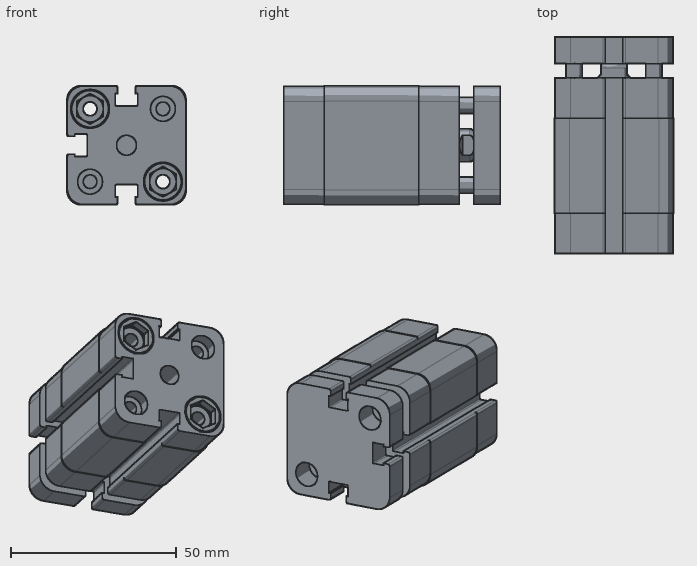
import cadquery as cq
import math

total_length = 65.5
plate_length = 8.1
rod_gap = 4.25
cap_length = 12.25
y_front = -total_length / 2
y_barrel_front = y_front + cap_length
y_plate_back = total_length / 2
y_plate_front = y_plate_back - plate_length
y_body_back = y_plate_front - rod_gap
y_barrel_back = y_body_back - cap_length

barrel_width = 36.1
cap_width = 35.7
corner_radius = 4.6

slot_mouth_width = 5.4
slot_inner_width = 6.7
slot_floor_height = 11.9
slot_lip_height = 15.6
slot_floor_radius = 0.3
mouth_radius = 0.65
slot_angles = (0, -90, 180)

corner_offset = 11.0
screw_corners = ((-corner_offset, corner_offset), (corner_offset, -corner_offset))
bore_corners = ((corner_offset, corner_offset), (-corner_offset, -corner_offset))
screw_head_diameter = 11.1
screw_recess_diameter = 11.7
screw_groove_depth = 1.0
hex_across_flats = 8.0
hex_depth = 3.0
hex_relief_depth = 0.5
screw_hole_diameter = 4.1
bore_diameter = 7.5
bore_depth = 4.5
bore_pilot_diameter = 4.1
center_hole_diameter = 6.0

rod_diameter = 10.0
rod_across_flats = 8.0
rod_neck_length = 1.25
rod_neck_radius = 1.5
rod_flat_gap = 1.0
guide_rod_diameter = 5.0
guide_rod_offset = 12.05


def plane_at(y):
    """Cross-section plane at y: local x is X, local y is Z, normal is -Y."""
    return cq.Workplane("XZ", origin=(0, y, 0))


def cylinders(points, diameter, y_start, length):
    """Cylinders centred on the given (X, Z) points, running toward +Y."""
    return plane_at(y_start).pushPoints(points).circle(diameter / 2).extrude(-length)


def slot_cutter(width, y_start, length):
    """T-slot with rounded mouth edges for the top side of a section of this width."""
    top = width / 2
    mouth = slot_mouth_width / 2
    diagonal = mouth_radius * (1 - math.sqrt(0.5))
    undercut = (
        plane_at(y_start)
        .center(0, (slot_floor_height + slot_lip_height) / 2)
        .rect(slot_inner_width, slot_lip_height - slot_floor_height)
        .extrude(-length)
        .edges("|Y and <Z")
        .fillet(slot_floor_radius)
    )
    opening = (
        plane_at(y_start)
        .moveTo(-mouth, slot_floor_height + slot_floor_radius)
        .lineTo(mouth, slot_floor_height + slot_floor_radius)
        .lineTo(mouth, top - mouth_radius)
        .threePointArc((mouth + diagonal, top - diagonal), (mouth + mouth_radius, top))
        .lineTo(-mouth - mouth_radius, top)
        .threePointArc((-mouth - diagonal, top - diagonal), (-mouth, top - mouth_radius))
        .close()
        .extrude(-length)
    )
    return undercut.union(opening)


def slotted_section(width, y_start, y_end):
    """Rounded square bar with T-slots on three sides."""
    length = y_end - y_start
    bar = plane_at(y_start).rect(width, width).extrude(-length).edges("|Y").fillet(corner_radius)
    cutter = slot_cutter(width, y_start, length)
    for angle in slot_angles:
        bar = bar.cut(cutter.rotate((0, 0, 0), (0, 1, 0), angle))
    return bar


def cut_screws(body):
    """Hex-socket screws flush with the front face, socket points up and down, each with a through hole."""
    groove = cylinders(screw_corners, screw_recess_diameter, y_front, screw_groove_depth).cut(
        cylinders(screw_corners, screw_head_diameter, y_front, screw_groove_depth)
    )
    hex_corner_diameter = hex_across_flats / math.cos(math.pi / 6)
    for x, z in screw_corners:
        socket = (
            plane_at(y_front)
            .polygon(6, hex_corner_diameter)
            .extrude(-hex_depth)
            .rotate((0, 0, 0), (0, 1, 0), 30)
            .translate((x, 0, z))
        )
        body = body.cut(socket)
    relief = cylinders(screw_corners, hex_across_flats, y_front, hex_depth + hex_relief_depth)
    hole = cylinders(screw_corners, screw_hole_diameter, y_front, y_body_back - y_front)
    return body.cut(groove).cut(relief).cut(hole)


def cut_bores(body):
    """Stepped blind bores in the other two corners and a blind hole on the axis."""
    bore = cylinders(bore_corners, bore_diameter, y_front, bore_depth)
    pilot = cylinders(bore_corners, bore_pilot_diameter, y_front, cap_length)
    center_hole = cylinders(((0, 0),), center_hole_diameter, y_front, cap_length)
    return body.cut(bore).cut(pilot).cut(center_hole)


def make_piston_rod():
    """Round rod, rounded toward the plate, with flats on both X sides that run out at 45 degrees."""
    radius = rod_diameter / 2
    y_neck = y_plate_front - rod_neck_length

    def neck_x(distance):
        return radius - rod_neck_radius + math.sqrt(rod_neck_radius**2 - distance**2)

    rod = (
        cq.Workplane("XY")
        .moveTo(0, y_body_back)
        .lineTo(radius, y_body_back)
        .lineTo(radius, y_neck)
        .threePointArc(
            (neck_x(rod_neck_length / 2), y_neck + rod_neck_length / 2),
            (neck_x(rod_neck_length), y_plate_front),
        )
        .lineTo(0, y_plate_front)
        .close()
        .revolve(360, (0, 0), (0, 1))
    )
    flat = rod_across_flats / 2
    y_flat = y_body_back + rod_flat_gap
    envelope = (
        cq.Workplane("XY", origin=(0, 0, -radius))
        .polyline([
            (-flat - rod_flat_gap, y_body_back),
            (flat + rod_flat_gap, y_body_back),
            (flat, y_flat),
            (flat, y_plate_front),
            (-flat, y_plate_front),
            (-flat, y_flat),
        ])
        .close()
        .extrude(rod_diameter)
    )
    return rod.intersect(envelope)


def make_guide_rods():
    """Two guide rods joining the body and the plate at the bore corners."""
    points = ((guide_rod_offset, guide_rod_offset), (-guide_rod_offset, -guide_rod_offset))
    return cylinders(points, guide_rod_diameter, y_body_back, rod_gap)


def make_plate():
    """Slotted end plate with clearance holes in line with the screws."""
    plate = slotted_section(cap_width, y_plate_front, y_plate_back)
    return plate.cut(cylinders(screw_corners, bore_diameter, y_plate_front, plate_length))


body = slotted_section(cap_width, y_front, y_barrel_front)
body = body.union(slotted_section(barrel_width, y_barrel_front, y_barrel_back))
body = body.union(slotted_section(cap_width, y_barrel_back, y_body_back))
body = cut_bores(cut_screws(body))

result = body.union(make_piston_rod()).union(make_guide_rods()).union(make_plate())